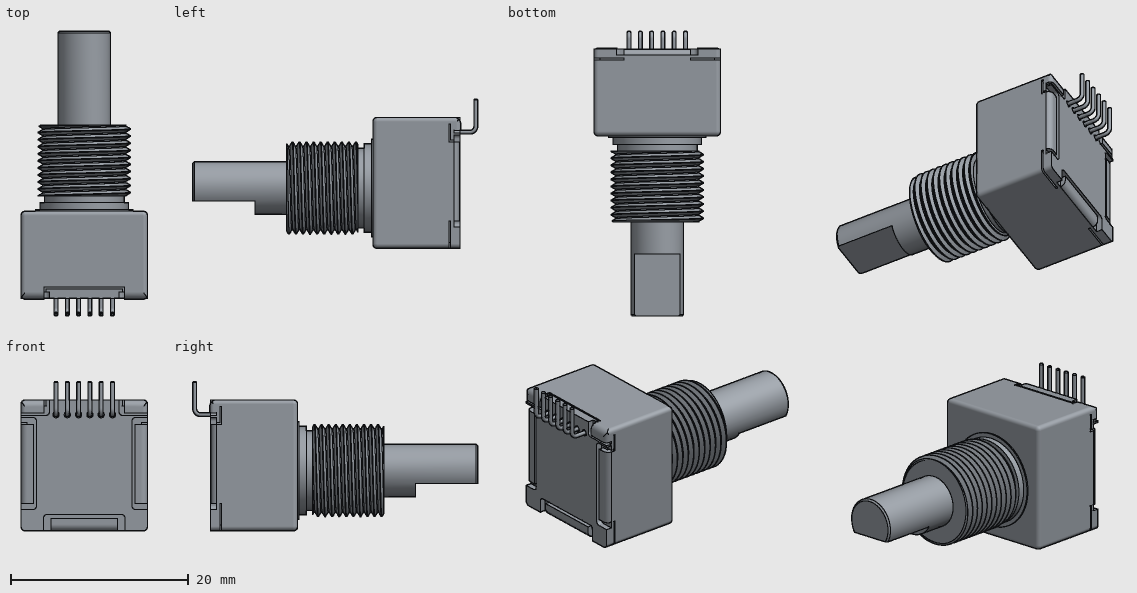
import cadquery as cq
import math


HOUSING_WIDTH = 14.25
HOUSING_DEPTH = 9.82
HOUSING_TOP = 7.95
HOUSING_BOTTOM = -6.8
HOUSING_ROUND = 0.5
WALL = 0.7
HALF_WIDTH = HOUSING_WIDTH / 2
REAR = -HOUSING_DEPTH

OPENING_FRONT = -8.56
GAP = 0.2
TOP_OPENING_HALF = 4.5
SIDE_OPENING_BOTTOM = 5.19
SIDE_OPENING_TOP = 7.21
SIDE_TAB_BOTTOM = -3.7
BOTTOM_TAB_HALF = 3.75

POCKET_FLOOR = REAR + WALL
POCKET_ROUND = 0.45
TAB_LENGTH = 1.4
TAB_RECESS = 0.08
TAB_ROOT = 0.2
TAB_BEND = 0.7
SIDE_POCKET_REACH = 1.77
SIDE_POCKET_BOTTOM = -4.39
SIDE_POCKET_TOP = 5.97
BOTTOM_POCKET_HALF = 4.6
BOTTOM_POCKET_REACH = 1.86
TOP_POCKET_INNER = 3.9
TOP_POCKET_REACH = 1.76
TOP_TAB_LENGTH = 1.46
TOP_TAB_PROUD = 0.1
TOP_TAB_BEND = 0.8

BUSHING_STEPS = ((5.5, 0.17), (5.0, 0.96), (4.5, 1.68))
THREAD_START = BUSHING_STEPS[-1][1]
THREAD_END = 9.68
THREADS_PER_INCH = 32
MM_PER_INCH = 25.4
THREAD_PITCH = MM_PER_INCH / THREADS_PER_INCH
THREAD_ROOT_RADIUS = 4.72
THREAD_CREST_RADIUS = 5.2
THREAD_CREST_FLAT = 0.08
THREAD_BASE = 0.76
THREAD_OVERLAP = 0.08
THREAD_CHAMFER = 0.25
THREAD_FIRST_CREST = 2.09
THREAD_SPARE_TURNS = 2

SHAFT_RADIUS = 2.98
SHAFT_END = 20.26
SHAFT_FLAT_START = 13.25
SHAFT_FLAT_OFFSET = 1.48
SHAFT_CHAMFER = 0.2

PIN_COUNT = 6
PIN_PITCH = 1.27
PIN_DIAMETER = 0.46
PIN_HEIGHT = 6.28
PIN_TOP = 10.04
PIN_OUTER_FACE = -11.82
PIN_BEND = 0.65
PIN_EMBED = 1.0
PIN_TIP_CHAMFER = 0.12
PIN_HOLE_DIAMETER = 0.7
PIN_HOLE_DEPTH = 0.3


def block(x_range, y_range, z_range):
    """Axis-aligned box between the given limits."""
    ranges = (x_range, y_range, z_range)
    sizes = [abs(end - start) for start, end in ranges]
    lows = [min(limits) for limits in ranges]
    return cq.Workplane("XY").box(*sizes, centered=False).translate(tuple(lows))


def cylinder_y(radius, start, end):
    """Cylinder on the shaft axis between two Y positions."""
    plane = cq.Workplane("XZ", origin=(0, start, 0))
    return plane.circle(radius).extrude(start - end)


def both_sides(solid):
    """The solid together with its mirror image across X = 0."""
    return solid.union(solid.mirror("YZ"))


def make_housing():
    housing = block((-HALF_WIDTH, HALF_WIDTH), (REAR, 0), (HOUSING_BOTTOM, HOUSING_TOP))
    return housing.edges("|Y").fillet(HOUSING_ROUND).faces(">Y").edges().fillet(HOUSING_ROUND)


def make_lug_gaps():
    """Narrow slots, one wall deep, between the can's rim and the cover's lugs."""
    lug_front = OPENING_FRONT - GAP
    across = (lug_front, OPENING_FRONT)
    inner_x = -HALF_WIDTH + WALL
    inner_top = HOUSING_TOP - WALL
    inner_bottom = HOUSING_BOTTOM + WALL

    top = block((-TOP_OPENING_HALF, 0), across, (inner_top, HOUSING_TOP))
    top_end = block(
        (-TOP_OPENING_HALF, -TOP_OPENING_HALF + GAP),
        (REAR, OPENING_FRONT),
        (inner_top, HOUSING_TOP),
    )
    side = block((-HALF_WIDTH, inner_x), across, (SIDE_OPENING_BOTTOM, SIDE_OPENING_TOP))
    side_end = block(
        (-HALF_WIDTH, inner_x),
        (POCKET_FLOOR, OPENING_FRONT),
        (SIDE_OPENING_BOTTOM, SIDE_OPENING_BOTTOM + GAP),
    )
    corner_side = block((-HALF_WIDTH, inner_x), across, (HOUSING_BOTTOM, SIDE_TAB_BOTTOM))
    corner_bottom = block((-HALF_WIDTH, -BOTTOM_TAB_HALF), across, (HOUSING_BOTTOM, inner_bottom))
    gaps = top.union(top_end).union(side).union(side_end).union(corner_side).union(corner_bottom)
    return both_sides(gaps)


def make_pockets():
    """Rear-face recesses for the folded tabs, with rounded inner corners."""
    depth = (REAR, POCKET_FLOOR)
    side = block(
        (-HALF_WIDTH, -HALF_WIDTH + SIDE_POCKET_REACH), depth, (SIDE_POCKET_BOTTOM, SIDE_POCKET_TOP)
    )
    side = side.edges("|Y and >X").fillet(POCKET_ROUND)
    top = block((-HALF_WIDTH, -TOP_POCKET_INNER), depth, (HOUSING_TOP - TOP_POCKET_REACH, HOUSING_TOP))
    top = top.edges("|Y and >X and <Z").fillet(POCKET_ROUND)
    bottom = block(
        (-BOTTOM_POCKET_HALF, BOTTOM_POCKET_HALF),
        depth,
        (HOUSING_BOTTOM, HOUSING_BOTTOM + BOTTOM_POCKET_REACH),
    )
    bottom = bottom.edges("|Y and >Z").fillet(POCKET_ROUND)
    return both_sides(side.union(top)).union(bottom)


def make_tabs():
    """Can tabs folded over the cover, each rounded along its bend."""
    depth = (REAR + TAB_RECESS, POCKET_FLOOR + TAB_ROOT)
    side = block(
        (-HALF_WIDTH, -HALF_WIDTH + TAB_LENGTH),
        depth,
        (SIDE_TAB_BOTTOM, SIDE_OPENING_BOTTOM),
    )
    side = side.edges("|Z and <X and <Y").fillet(TAB_BEND)
    bottom = block(
        (-BOTTOM_TAB_HALF, BOTTOM_TAB_HALF),
        depth,
        (HOUSING_BOTTOM, HOUSING_BOTTOM + TAB_LENGTH),
    )
    bottom = bottom.edges("|X and <Y and <Z").fillet(TAB_BEND)
    return both_sides(side.union(make_top_tab())).union(bottom)


def make_top_tab():
    """Top tab at the -X corner, carrying the housing's edge rounding around the bend."""
    limits = (
        (-HALF_WIDTH, -TOP_OPENING_HALF),
        (REAR - TOP_TAB_PROUD, POCKET_FLOOR + TAB_ROOT),
        (HOUSING_TOP - TOP_TAB_LENGTH, HOUSING_TOP),
    )
    bent = block(*limits).edges("|X and <Y and >Z").fillet(TOP_TAB_BEND)
    rounded_edge = block(*limits).edges("|Y and <X and >Z").fillet(HOUSING_ROUND)
    rounded_side = block(*limits).edges("|Z and <X and <Y").fillet(HOUSING_ROUND)
    return bent.intersect(rounded_edge).intersect(rounded_side)


def make_ridge(start, turns):
    """Right-handed thread ridge, its root sunk below the core surface; starts on the +X side."""
    inner_radius = THREAD_ROOT_RADIUS - THREAD_OVERLAP
    half_base = THREAD_BASE / 2
    half_crest = THREAD_CREST_FLAT / 2
    helix = cq.Wire.makeHelix(THREAD_PITCH, turns * THREAD_PITCH, inner_radius)
    profile = (
        cq.Workplane("XZ")
        .moveTo(inner_radius, -half_base)
        .lineTo(THREAD_CREST_RADIUS, -half_crest)
        .lineTo(THREAD_CREST_RADIUS, half_crest)
        .lineTo(inner_radius, half_base)
        .close()
    )
    ridge = profile.sweep(cq.Workplane(helix), isFrenet=True)
    return ridge.rotate((0, 0, 0), (1, 0, 0), -90).translate((0, start, 0))


def make_thread():
    """Threaded bushing, made overlong and then trimmed so the ridge runs out at both ends."""
    start = THREAD_FIRST_CREST - THREAD_SPARE_TURNS * THREAD_PITCH
    turns = math.ceil((THREAD_END - start) / THREAD_PITCH) + 1
    core_end = start + (turns + 1) * THREAD_PITCH
    core = cylinder_y(THREAD_ROOT_RADIUS, start - THREAD_PITCH, core_end)
    envelope = cylinder_y(THREAD_CREST_RADIUS + THREAD_OVERLAP, THREAD_START, THREAD_END)
    envelope = envelope.faces(">Y").edges().chamfer(THREAD_CHAMFER + THREAD_OVERLAP)
    return core.union(make_ridge(start, turns)).intersect(envelope)


def make_bushing():
    bushing = make_thread()
    for radius, end in BUSHING_STEPS:
        bushing = bushing.union(cylinder_y(radius, -WALL, end))
    return bushing


def make_shaft():
    shaft = cylinder_y(SHAFT_RADIUS, THREAD_START, SHAFT_END)
    shaft = shaft.faces(">Y").edges().chamfer(SHAFT_CHAMFER)
    below_flat = block(
        (-SHAFT_RADIUS, SHAFT_RADIUS),
        (SHAFT_FLAT_START, SHAFT_END),
        (-SHAFT_RADIUS, -SHAFT_FLAT_OFFSET),
    )
    return shaft.cut(below_flat)


def make_pin(x):
    """Round pin that leaves the rear face and bends upward."""
    upright_y = PIN_OUTER_FACE + PIN_DIAMETER / 2
    diagonal = PIN_BEND * math.sqrt(0.5)
    bend_middle = (upright_y + PIN_BEND - diagonal, PIN_HEIGHT + PIN_BEND - diagonal)
    path = (
        cq.Workplane("YZ", origin=(x, 0, 0))
        .moveTo(REAR + PIN_EMBED, PIN_HEIGHT)
        .lineTo(upright_y + PIN_BEND, PIN_HEIGHT)
        .threePointArc(bend_middle, (upright_y, PIN_HEIGHT + PIN_BEND))
        .lineTo(upright_y, PIN_TOP)
    )
    section = cq.Workplane("XZ", origin=(x, REAR + PIN_EMBED, PIN_HEIGHT)).circle(PIN_DIAMETER / 2)
    return section.sweep(path).faces(">Z").edges().chamfer(PIN_TIP_CHAMFER)


def make_pin_hole(x):
    """Shallow clearance recess around a pin in the rear face."""
    plane = cq.Workplane("XZ", origin=(x, REAR, PIN_HEIGHT))
    return plane.circle(PIN_HOLE_DIAMETER / 2).extrude(-PIN_HOLE_DEPTH)


body = make_housing().cut(make_lug_gaps()).cut(make_pockets()).union(make_tabs())
for index in range(PIN_COUNT):
    pin_x = (index - (PIN_COUNT - 1) / 2) * PIN_PITCH
    body = body.cut(make_pin_hole(pin_x)).union(make_pin(pin_x))

result = body.union(make_bushing()).union(make_shaft())